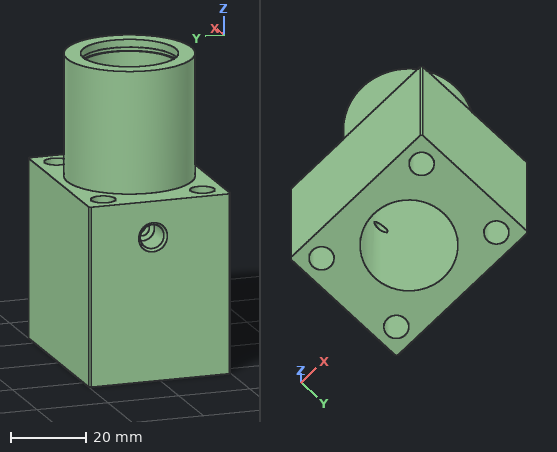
import cadquery as cq
import math

block_x = 50.0
block_y = 40.0
block_height = 50.0
corner_chamfer = 0.5

total_height = 84
tube_diameter = 35.0
bore_diameter = 26

groove_diameter = 27.2
groove_offset = 2.2
groove_width = 1.1

mount_diameter = 6.6
mount_spacing_x = 38.0
mount_spacing_y = 28.0

port_y = 2.0
port_drop = 10.0
port_mouth_diameter = 8.1
port_diameter = 6.6
port_depth = 8.4
port_passage_diameter = 4.3
drill_tip_angle = 118


def side_port():
    """Solid of revolution: chamfered mouth, drilled hole, conical end, passage."""
    mouth_radius = port_mouth_diameter / 2
    port_radius = port_diameter / 2
    passage_radius = port_passage_diameter / 2
    mouth_chamfer = mouth_radius - port_radius
    half_tip_angle = math.radians(drill_tip_angle / 2)
    cone_length = (port_radius - passage_radius) / math.tan(half_tip_angle)
    passage_end = block_x / 2
    profile = (
        cq.Workplane("XY")
        .lineTo(0, mouth_radius)
        .lineTo(mouth_chamfer, port_radius)
        .lineTo(port_depth, port_radius)
        .lineTo(port_depth + cone_length, passage_radius)
        .lineTo(passage_end, passage_radius)
        .lineTo(passage_end, 0)
        .close()
    )
    port = profile.revolve(360, (0, 0, 0), (1, 0, 0))
    return port.translate((-block_x / 2, port_y, block_height - port_drop))


def ring_groove():
    """Disc that widens the bore just below the tube mouth."""
    groove_bottom = total_height - groove_offset - groove_width
    return (
        cq.Workplane("XY")
        .workplane(offset=groove_bottom)
        .circle(groove_diameter / 2)
        .extrude(groove_width)
    )


block = (
    cq.Workplane("XY")
    .box(block_x, block_y, block_height, centered=(True, True, False))
    .edges("|Z")
    .chamfer(corner_chamfer)
)
tube = cq.Workplane("XY").circle(tube_diameter / 2).extrude(total_height)
bore = cq.Workplane("XY").circle(bore_diameter / 2).extrude(total_height)
mount_holes = (
    cq.Workplane("XY")
    .rarray(mount_spacing_x, mount_spacing_y, 2, 2)
    .circle(mount_diameter / 2)
    .extrude(block_height)
)

result = block.union(tube).cut(bore).cut(mount_holes).cut(ring_groove()).cut(side_port())